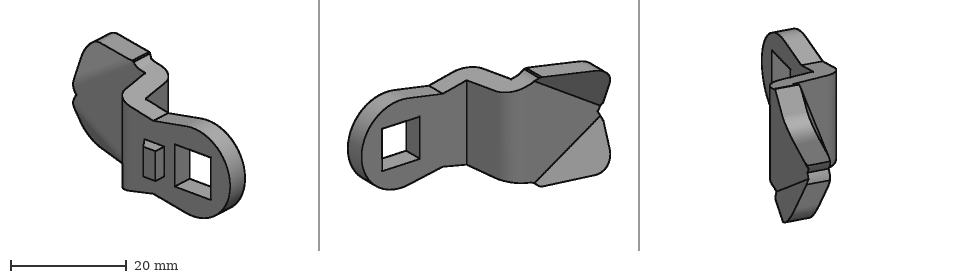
import cadquery as cq
import math

thickness = 4.0
plate_offset = 10.0
web_tilt = math.radians(10)
upper_bend_x = -19.2

head_radius = 8.5
hole_side = 8.13
total_length = 44.15
total_width = 21.05
tip_x = head_radius - total_length

waist_x, waist_z = -8.92, 7.02
shoulder_x, shoulder_z = -20.5, 9.5
neck_middle_x, neck_middle_z = -21.15, 9.8
neck_x, neck_z = -21.9, 10.42
ear_x = -22.3
ear_z = total_width / 2
notch_x = -34.85
notch_side_x, notch_side_z = -35.4, 0.95
tip_z = 1.8
side_taper = math.radians(3)
corner_radius = 4.0

wing_bend_x = -36.93
wing_line_angle = math.radians(32)
wing_fold = math.radians(30)

lug_base_left, lug_tip_left, lug_right = -10.9, -9.2, -6.4
lug_height = 2.4
lug_width = 5.75

margin = 26.5


def make_outline():
    """Lever outline in X-Z, extruded along Y through the whole part."""
    waist_distance = math.hypot(waist_x, waist_z)
    tangent_angle = math.atan2(waist_z, waist_x) - math.acos(head_radius / waist_distance)
    tangent_x = head_radius * math.cos(tangent_angle)
    tangent_z = head_radius * math.sin(tangent_angle)

    taper = math.tan(side_taper)
    corner_z = (ear_z - (ear_x - tip_x + tip_z * taper) * taper) / (1 - taper**2)
    corner_x = tip_x + (corner_z - tip_z) * taper

    setback = corner_radius * math.tan(math.pi / 4 - side_taper)
    sin_taper = math.sin(side_taper)
    cos_taper = math.cos(side_taper)

    body = (
        cq.Workplane("XZ", origin=(0, -margin, 0))
        .moveTo(notch_x, 0)
        .threePointArc((notch_side_x, notch_side_z), (tip_x, tip_z))
        .lineTo(corner_x - setback * sin_taper, corner_z - setback * cos_taper)
        .tangentArcPoint(
            (corner_x + setback * cos_taper, corner_z + setback * sin_taper), relative=False
        )
        .lineTo(ear_x, ear_z)
        .lineTo(neck_x, neck_z)
        .threePointArc((neck_middle_x, neck_middle_z), (shoulder_x, shoulder_z))
        .lineTo(waist_x, waist_z)
        .lineTo(tangent_x, tangent_z)
        .lineTo(tangent_x, 0)
        .mirrorX()
        .extrude(-2 * margin)
    )
    head = cq.Workplane("XZ", origin=(0, -margin, 0)).circle(head_radius).extrude(-2 * margin)
    return body.union(head)


def make_stepped_sheet():
    """Two parallel plates and the sloping web, with sharp inner and round outer bends."""
    cos_tilt = math.cos(web_tilt)
    sin_tilt = math.sin(web_tilt)
    bend_rise = plate_offset - thickness
    lower_bend_x = upper_bend_x + (thickness + bend_rise * sin_tilt) / cos_tilt
    upper_back = plate_offset + thickness
    half_bend = (math.pi / 2 - web_tilt) / 2
    arc_dx = thickness * math.sin(half_bend)
    arc_dy = thickness * math.cos(half_bend)
    return (
        cq.Workplane("XY", origin=(0, 0, -margin))
        .moveTo(tip_x, plate_offset)
        .lineTo(upper_bend_x, plate_offset)
        .lineTo(lower_bend_x - thickness * cos_tilt, thickness - thickness * sin_tilt)
        .threePointArc((lower_bend_x - arc_dx, thickness - arc_dy), (lower_bend_x, 0))
        .lineTo(head_radius, 0)
        .lineTo(head_radius, thickness)
        .lineTo(lower_bend_x, thickness)
        .lineTo(upper_bend_x + thickness * cos_tilt, plate_offset + thickness * sin_tilt)
        .threePointArc((upper_bend_x + arc_dx, plate_offset + arc_dy), (upper_bend_x, upper_back))
        .lineTo(tip_x, upper_back)
        .close()
        .extrude(2 * margin)
    )


def wing_plane():
    """Section plane across the upper bend line: local x points outward, local y is +Y."""
    sin_line = math.sin(wing_line_angle)
    cos_line = math.cos(wing_line_angle)
    return cq.Plane(
        origin=(wing_bend_x, 0, 0),
        xDir=(-sin_line, 0, cos_line),
        normal=(-cos_line, 0, -sin_line),
    )


def make_wing():
    """Folded-back upper wing: round bend at the front, sharp bend at the back."""
    back = plate_offset + thickness
    cos_fold = math.cos(wing_fold)
    sin_fold = math.sin(wing_fold)
    bend_end = (thickness * sin_fold, back - thickness * cos_fold)
    bend_middle = (
        thickness * math.sin(wing_fold / 2),
        back - thickness * math.cos(wing_fold / 2),
    )
    return (
        cq.Workplane(wing_plane())
        .moveTo(0, plate_offset)
        .threePointArc(bend_middle, bend_end)
        .lineTo(bend_end[0] + margin * cos_fold, bend_end[1] + margin * sin_fold)
        .lineTo(margin * cos_fold, back + margin * sin_fold)
        .lineTo(0, back)
        .close()
        .extrude(-margin)
    )


def make_beyond_bend():
    """Everything outward of the upper wing bend line."""
    return (
        cq.Workplane(wing_plane())
        .center(margin / 2, 0)
        .box(margin, 2 * margin, 4 * margin)
    )


def make_lug():
    """Stop lug on the front of the lower plate, with one sloping side."""
    return (
        cq.Workplane("XY", origin=(0, 0, -lug_width / 2))
        .moveTo(lug_base_left, 0)
        .lineTo(lug_tip_left, -lug_height)
        .lineTo(lug_right, -lug_height)
        .lineTo(lug_right, 0)
        .close()
        .extrude(lug_width)
    )


wing = make_wing()
beyond_bend = make_beyond_bend()
square_hole = cq.Workplane("XY").box(hole_side, margin, hole_side)

blank = make_stepped_sheet().cut(beyond_bend).cut(beyond_bend.mirror("XY"))
blank = blank.union(wing).union(wing.mirror("XY"))
result = blank.intersect(make_outline()).cut(square_hole).union(make_lug())